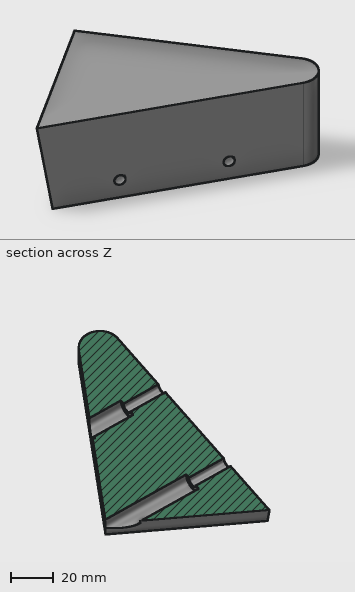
import cadquery as cq
import math

width = 69.8
length = 139.9
height = 48.1

tip_radius = 10.1
corner_y = 38.7
end_undercut = 7.7

hole_diameter = 5.5
counterbore_diameter = 10.0
hole_height = 10.1
hole_positions = (40.5, 93.7)
wall_under_head = 20.0

tip_x = width - tip_radius
tip_y = length - tip_radius
corner_to_tip = math.hypot(tip_x, tip_y - corner_y)
side_angle = math.atan2(tip_y - corner_y, tip_x) + math.asin(tip_radius / corner_to_tip)


def tip_point(angle):
    """Point on the tip arc at an angle from +X."""
    return (tip_x + tip_radius * math.cos(angle), tip_y + tip_radius * math.sin(angle))


tangent_angle = side_angle + math.pi / 2
block = (
    cq.Workplane("XY")
    .moveTo(width, 0)
    .lineTo(*tip_point(0))
    .threePointArc(tip_point(tangent_angle / 2), tip_point(tangent_angle))
    .lineTo(0, corner_y)
    .close()
    .extrude(height)
)


def undercut_end(body):
    """Lean the skewed end inward towards the base."""
    wedge_start = cq.Plane(origin=(width, 0, 0), xDir=(0, 1, 0), normal=(1, 0, 0))
    sweep = cq.Workplane("XY").moveTo(width, 0).lineTo(0, corner_y)
    wedge = (
        cq.Workplane(wedge_start)
        .polyline([(0, height), (end_undercut, 0), (0, 0)])
        .close()
        .sweep(sweep)
    )
    return body.cut(wedge)


def cut_screw_hole(body, y):
    """Cut a through hole along X with a counterbore from the sloping side."""
    across = cq.Workplane("YZ").center(y, hole_height)
    through = across.circle(hole_diameter / 2).extrude(width)
    counterbore = across.circle(counterbore_diameter / 2).extrude(width - wall_under_head)
    return body.cut(through).cut(counterbore)


result = undercut_end(block)
for hole_y in hole_positions:
    result = cut_screw_hole(result, hole_y)